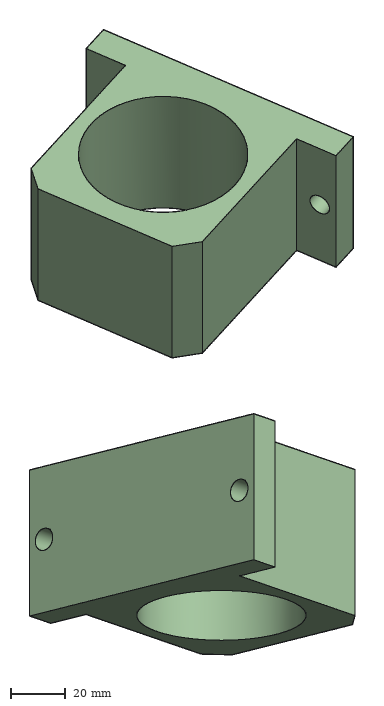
import cadquery as cq

height = 56.0
flange_width = 108.0
depth = 85.0

flange_thickness = 12.0
bolt_hole_diameter = 8.4
bolt_hole_to_side = 7.0

block_width = 74.0
corner_chamfer = 8.0
bore_diameter = 62.0
bore_to_front = 40.0

front_y = -bore_to_front
back_y = front_y + depth


def make_flange():
    """Flat plate across the back of the part."""
    return cq.Workplane("XY").box(flange_width, flange_thickness, height).translate(
        (0, back_y - flange_thickness / 2, 0)
    )


def make_block():
    """Block running from the front face to the back, with chamfered front corners."""
    block = cq.Workplane("XY").box(block_width, depth, height)
    block = block.faces("<Y").edges("|Z").chamfer(corner_chamfer)
    return block.translate((0, front_y + depth / 2, 0))


def make_bore():
    """Vertical through bore of the block."""
    return cq.Workplane("XY").circle(bore_diameter / 2).extrude(height / 2, both=True)


def make_bolt_holes():
    """Pair of through holes along Y, one in each flange ear."""
    half_spacing = flange_width / 2 - bolt_hole_to_side
    return (
        cq.Workplane("XZ", origin=(0, back_y, 0))
        .pushPoints([(-half_spacing, 0), (half_spacing, 0)])
        .circle(bolt_hole_diameter / 2)
        .extrude(flange_thickness)
    )


result = make_flange().union(make_block()).cut(make_bore()).cut(make_bolt_holes())